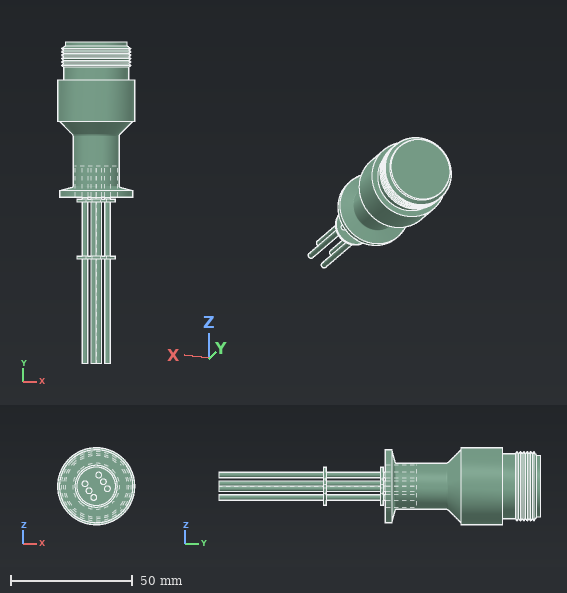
import cadquery as cq
import math


overall_length = 132.15
connector_length = 63.9
pin_length = overall_length - connector_length

flange_radius = 30.0 / 2
flange_rim_width = 2.8
flange_taper_angle = 15.0
flange_root_fillet = 0.4
tube_radius = 19.05 / 2
bore_radius = 17.3 / 2
bore_depth = 12.9

body_radius = 31.75 / 2
body_start = 31.15
body_end = 48.25
cone_large_radius = 30.1 / 2
cone_root_fillet = 1.1

nose_radius = 25.4 / 2
nose_length = 1.65
nose_lead_in = 1.2
neck_radius = 26.75 / 2
thread_crest_radius = 28.575 / 2
thread_pitch = 25.4 / 18
thread_ridges = 6
thread_start = 53.45

pin_radius = 2.39 / 2
pin_circle_radius = 4.71
pin_count = 4
first_pin_angle = -12.5

disc_radius = 15.8 / 2
disc_thickness = 1.2
first_disc_gap = 0.7
disc_spacing = 23.4
disc_count = 2

hole_radius = pin_radius
hole_circle_radius = 3.48
hole_count = 2
first_hole_angle = first_pin_angle + 180 / pin_count

edge_margin = 0.05


def cylinder_along_y(radius, y_low, y_high, x=0.0, z=0.0):
    """Solid cylinder parallel to Y between two Y positions."""
    axis_start = cq.Vector(x, y_low, z)
    return cq.Workplane(cq.Solid.makeCylinder(radius, y_high - y_low, axis_start, cq.Vector(0, 1, 0)))


def make_shell():
    """Flange, tube, cone, body and threaded nose as one revolved profile of (radius, y)."""
    taper_height = (flange_radius - tube_radius) * math.tan(math.radians(flange_taper_angle))
    tube_start = flange_rim_width + taper_height
    tube_end = body_start - (cone_large_radius - tube_radius)
    profile = [
        (0, 0),
        (flange_radius, 0),
        (flange_radius, flange_rim_width),
        (tube_radius, tube_start),
        (tube_radius, tube_end),
        (cone_large_radius, body_start),
        (body_radius, body_start),
        (body_radius, body_end),
        (neck_radius, body_end),
        (neck_radius, thread_start),
    ]
    for ridge in range(thread_ridges):
        ridge_start = thread_start + ridge * thread_pitch
        profile.append((thread_crest_radius, ridge_start + thread_pitch / 2))
        profile.append((neck_radius, ridge_start + thread_pitch))
    profile[-2] = (thread_crest_radius, connector_length - nose_length - nose_lead_in)
    profile[-1] = (nose_radius, connector_length - nose_length)
    profile.append((nose_radius, connector_length))
    profile.append((0, connector_length))
    shell = cq.Workplane("XY").polyline(profile).close().revolve(360, (0, 0, 0), (0, 1, 0))
    for tube_edge, fillet_radius in ((tube_start, flange_root_fillet), (tube_end, cone_root_fillet)):
        edge_finder = cq.selectors.BoxSelector(
            (-body_radius, tube_edge - edge_margin, -body_radius),
            (body_radius, tube_edge + edge_margin, body_radius),
            boundingbox=True,
        )
        shell = shell.edges(edge_finder).fillet(fillet_radius)
    return shell


def circle_of_places(circle_radius, count, first_angle):
    """(x, z) centres evenly spaced round the Y axis, angles from +X toward +Z."""
    places = []
    for index in range(count):
        turn = math.radians(first_angle + index * 360 / count)
        places.append((circle_radius * math.cos(turn), circle_radius * math.sin(turn)))
    return places


def make_disc(disc_top):
    """Insulating disc below the given Y position, with its two open holes."""
    disc_bottom = disc_top - disc_thickness
    disc = cylinder_along_y(disc_radius, disc_bottom, disc_top)
    for hole_x, hole_z in circle_of_places(hole_circle_radius, hole_count, first_hole_angle):
        disc = disc.cut(cylinder_along_y(hole_radius, disc_bottom, disc_top, hole_x, hole_z))
    return disc


result = make_shell().cut(cylinder_along_y(bore_radius, 0, bore_depth))

for pin_x, pin_z in circle_of_places(pin_circle_radius, pin_count, first_pin_angle):
    result = result.union(cylinder_along_y(pin_radius, -pin_length, bore_depth, pin_x, pin_z))

for disc_index in range(disc_count):
    result = result.union(make_disc(-first_disc_gap - disc_index * disc_spacing))